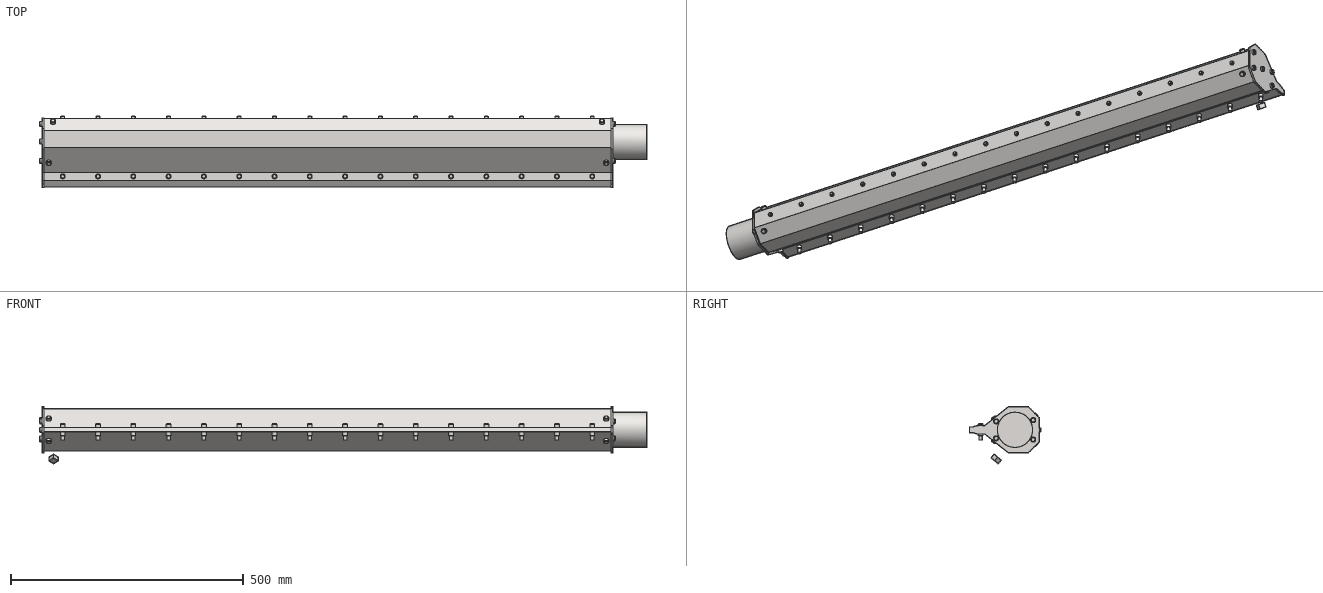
import cadquery as cq

total_length = 1307.0
cap_head_height = 5.0
plate_thickness = 4.0
housing_length = 1220.0

left_plate_x = cap_head_height
housing_x = left_plate_x + plate_thickness
right_plate_x = housing_x + housing_length
tube_x = right_plate_x + plate_thickness

housing_half_height = 46.0
housing_back_y = 50.0
flat_back_y = 24.0
flat_front_y = -13.0
back_corner_z = housing_half_height - (housing_back_y - flat_back_y)
shelf_half_height = 5.0
shelf_back_y = -67.0
shelf_front_y = -84.0
nose_break_y = -94.0
nose_break_z = -1.0
nose_tip_y = -98.0
nose_tip_z = -4.0

plate_half_height = 50.0
plate_back_y = 51.0
plate_flat_back_y = 27.0
plate_flat_front_y = -16.0
plate_back_corner_z = plate_half_height - (plate_back_y - plate_flat_back_y)
plate_nose_y = -99.0
plate_shelf_half_height = 9.0
plate_taper_y = -91.0
plate_nose_half_height = 7.0

tube_diameter = 76.0
tube_y = -1.0

head_chamfer = 1.0

seam_count = 16
seam_margin = 40.0
seam_pitch = (housing_length - 2 * seam_margin) / (seam_count - 1)
seam_y = (shelf_back_y + shelf_front_y) / 2
seam_head_diameter = 10.0
seam_head_height = 8.0
seam_shank_diameter = 7.6
seam_shank_end_z = -22.0
rivet_diameter = 8.5
rivet_height = 5.0

cap_head_diameter = 11.0
cap_back_y = 38.0
cap_back_z = 21.0
cap_front_y = -42.0
cap_front_z = 18.0

side_head_diameter = 11.0
side_head_height = 7.0
front_screw_y = -45.0
front_screw_inset = 10.0
back_screw_y = 40.0
back_screw_inset = 20.0

nut_side = 15.0
nut_thickness = 10.0
nut_center = (30.0, -42.0, -63.0)
nut_tilt = 40.0
nut_twist = 45.0


def extrude_profile(points, start_x, length):
    """Prism along +X from a list of (Y, Z) points."""
    return cq.Workplane("YZ", origin=(start_x, 0, 0)).polyline(points).close().extrude(length)


def cylinder(base, axis, diameter, height):
    """Solid cylinder that starts at a base point and runs along an axis."""
    return cq.Workplane(cq.Solid.makeCylinder(diameter / 2, height, cq.Vector(*base), cq.Vector(*axis)))


def chamfered_head(base, axis, diameter, height):
    """Screw or rivet head whose outer rim is chamfered."""
    head = cylinder(base, axis, diameter, height)
    rim = head.faces(cq.selectors.DirectionMinMaxSelector(cq.Vector(*axis))).edges()
    return head.newObject(rim.vals()).chamfer(head_chamfer)


def make_shell():
    return (
        cq.Workplane("YZ", origin=(housing_x, 0, 0))
        .moveTo(flat_back_y, housing_half_height)
        .lineTo(flat_front_y, housing_half_height)
        .lineTo(shelf_back_y, shelf_half_height)
        .lineTo(shelf_front_y, shelf_half_height)
        .lineTo(nose_break_y, nose_break_z)
        .lineTo(nose_tip_y, nose_tip_z)
        .lineTo(nose_tip_y, -shelf_half_height)
        .lineTo(shelf_back_y, -shelf_half_height)
        .lineTo(flat_front_y, -housing_half_height)
        .lineTo(flat_back_y, -housing_half_height)
        .lineTo(housing_back_y, -back_corner_z)
        .lineTo(housing_back_y, back_corner_z)
        .close()
        .extrude(housing_length)
    )


def make_end_plate(start_x):
    upper = [
        (plate_back_y, plate_back_corner_z),
        (plate_flat_back_y, plate_half_height),
        (plate_flat_front_y, plate_half_height),
        (shelf_back_y, plate_shelf_half_height),
        (shelf_front_y, plate_shelf_half_height),
        (plate_taper_y, plate_nose_half_height),
        (plate_nose_y, plate_nose_half_height),
    ]
    lower = [(y, -z) for y, z in reversed(upper)]
    return extrude_profile(upper + lower, start_x, plate_thickness)


def make_tube():
    return cylinder((tube_x, tube_y, 0), (1, 0, 0), tube_diameter, total_length - tube_x)


def add_seam_fasteners(body):
    for index in range(seam_count):
        x = housing_x + seam_margin + index * seam_pitch
        for side in (1, -1):
            head_base = (x, seam_y, side * shelf_half_height)
            body = body.union(chamfered_head(head_base, (0, 0, side), seam_head_diameter, seam_head_height))
        shank = cylinder((x, seam_y, seam_shank_end_z), (0, 0, 1), seam_shank_diameter, -seam_shank_end_z)
        rivet = chamfered_head((x, housing_back_y, 0), (0, 1, 0), rivet_diameter, rivet_height)
        body = body.union(shank).union(rivet)
    return body


def add_cap_screws(body):
    plates = [(left_plate_x, -1), (tube_x, 1)]
    corners = [(cap_back_y, cap_back_z), (cap_front_y, cap_front_z)]
    for face_x, outward in plates:
        for y, z in corners:
            for side in (1, -1):
                head_base = (face_x, y, side * z)
                axis = (outward, 0, 0)
                body = body.union(chamfered_head(head_base, axis, cap_head_diameter, cap_head_height))
    center_head = chamfered_head((left_plate_x, 0, 0), (-1, 0, 0), cap_head_diameter, cap_head_height)
    return body.union(center_head)


def add_side_screws(body):
    top_edges = [flat_front_y, flat_back_y]
    low_corners = [(shelf_back_y, shelf_half_height), (housing_back_y, back_corner_z)]
    screws = [(front_screw_y, front_screw_inset), (back_screw_y, back_screw_inset)]
    for top_y, (low_y, low_z), (y, inset) in zip(top_edges, low_corners, screws):
        slope = (low_z - housing_half_height) / (low_y - top_y)
        z = housing_half_height + slope * (y - top_y)
        for side in (1, -1):
            for x in (housing_x + inset, right_plate_x - inset):
                head_base = (x, y, side * z)
                outward = (0, -slope, side)
                body = body.union(chamfered_head(head_base, outward, side_head_diameter, side_head_height))
    return body


def make_loose_nut():
    nut = cq.Workplane("XY").box(nut_side, nut_side, nut_thickness)
    nut = nut.rotate((0, 0, 0), (0, 0, 1), nut_twist)
    nut = nut.rotate((0, 0, 0), (1, 0, 0), -nut_tilt)
    return nut.translate(nut_center)


housing = make_shell()
housing = housing.union(make_end_plate(left_plate_x)).union(make_end_plate(right_plate_x)).union(make_tube())
housing = add_seam_fasteners(housing)
housing = add_cap_screws(housing)
housing = add_side_screws(housing)

loose_nut = make_loose_nut()

result = cq.Compound.makeCompound([housing.val(), loose_nut.val()])